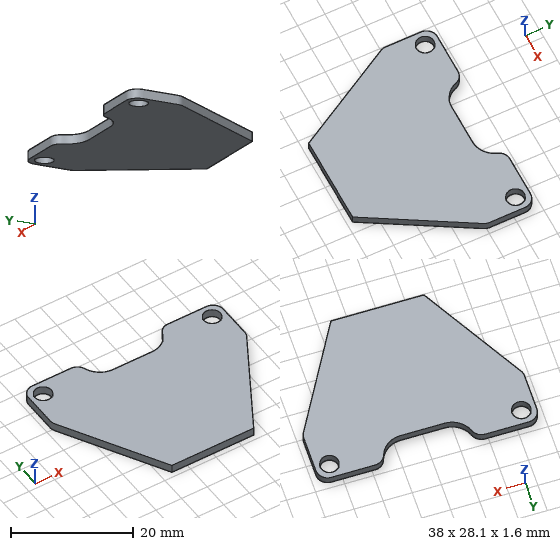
import cadquery as cq
import math

width = 38.0
length = 28.07
thickness = 1.6

front_width = 16.0
taper_angle = math.radians(30)
corner_radius = 2.0

notch_depth = 4.0
notch_floor_width = 7.6

hole_diameter = 3.2
hole_inset = 2.5

half_width = width / 2
half_front = front_width / 2
taper_start_y = -length + (half_width - half_front) / math.tan(taper_angle)


def make_blank():
    """Plate with rounded rear and shoulder corners and sharp front corners."""
    blank = (
        cq.Workplane("XY")
        .polyline([
            (-half_width, 0),
            (half_width, 0),
            (half_width, taper_start_y),
            (half_front, -length),
            (-half_front, -length),
            (-half_width, taper_start_y),
        ])
        .close()
        .extrude(thickness)
    )
    side_corners = blank.edges("|Z").edges(cq.selectors.BoxSelector(
        (-width, taper_start_y - corner_radius, -thickness),
        (width, corner_radius, 2 * thickness),
    ))
    return side_corners.fillet(corner_radius)


def make_notch():
    """Notch cutter whose mouth blends into the rear edge through convex arcs."""
    floor_end_x = notch_floor_width / 2
    center_distance = notch_depth + corner_radius
    mouth_x = floor_end_x + math.sqrt(center_distance**2 - corner_radius**2)
    slope = math.asin(corner_radius / center_distance)

    blend_x = floor_end_x + notch_depth * math.cos(slope)
    blend_y = -notch_depth * math.sin(slope)

    floor_mid_angle = (slope + math.pi / 2) / 2
    floor_mid_x = floor_end_x + notch_depth * math.cos(floor_mid_angle)
    floor_mid_y = -notch_depth * math.sin(floor_mid_angle)

    mouth_mid_x = mouth_x - corner_radius * math.cos(floor_mid_angle)
    mouth_mid_y = -corner_radius + corner_radius * math.sin(floor_mid_angle)

    return (
        cq.Workplane("XY")
        .moveTo(-mouth_x, 0)
        .threePointArc((-mouth_mid_x, mouth_mid_y), (-blend_x, blend_y))
        .threePointArc((-floor_mid_x, floor_mid_y), (-floor_end_x, -notch_depth))
        .lineTo(floor_end_x, -notch_depth)
        .threePointArc((floor_mid_x, floor_mid_y), (blend_x, blend_y))
        .threePointArc((mouth_mid_x, mouth_mid_y), (mouth_x, 0))
        .close()
        .extrude(thickness)
    )


def make_holes():
    """Through-hole cutters, one in each rear corner."""
    hole_x = half_width - hole_inset
    return (
        cq.Workplane("XY")
        .pushPoints([(-hole_x, -hole_inset), (hole_x, -hole_inset)])
        .circle(hole_diameter / 2)
        .extrude(thickness)
    )


result = make_blank().cut(make_notch()).cut(make_holes())